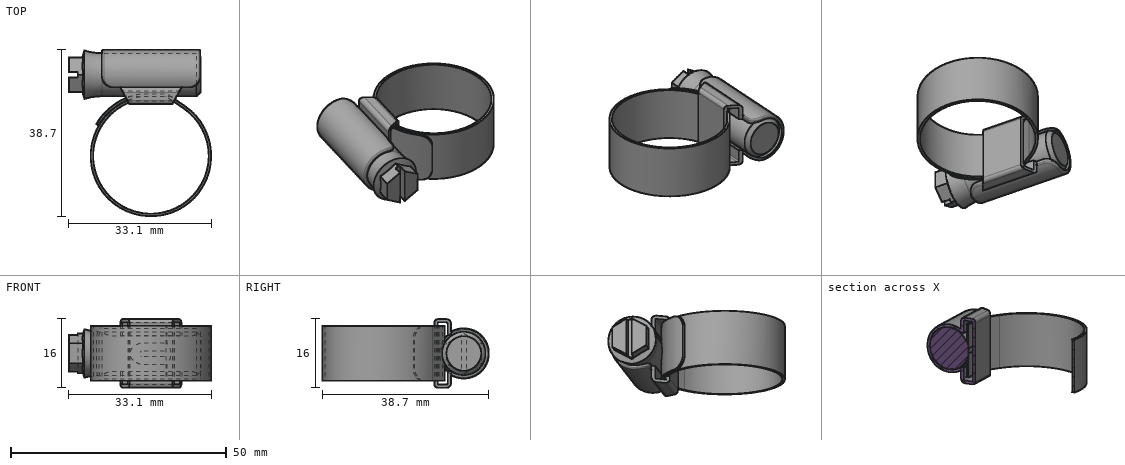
import cadquery as cq
import math


ring_radius = 14.02
band_thickness = 0.62
band_width = 12.8
inner_end_angle = 112.0
ramp_angle = 55.8
tail_gap = 0.05
tail_end_angle = 149.7
tail_corner_radius = 3.02
bridge_top = 14.5

ring_bore_radius = ring_radius - band_thickness
tail_inner_radius = ring_radius + tail_gap
tail_outer_radius = tail_inner_radius + band_thickness
bridge_bottom = bridge_top - band_thickness

screw_axis_y = 18.85
screw_radius = 5.05
screw_end_x = 11.58
screw_chamfer_length = 1.05
screw_chamfer_depth = 1.0
collar_radius = 5.65
collar_rim_x = -15.45
hex_front_x = -19.05
hex_back_x = -15.9
hex_across_flats = 8.05
slot_width = 1.25
slot_depth = 2.0

sheet_thickness = 0.8
housing_front_x = -11.4
housing_back_x = 11.5
dome_radius = screw_radius + sheet_thickness
dome_corner_radius = 2.65
dome_rim_fillet = 0.4
saddle_top = 15.9
saddle_bottom = 12.0
saddle_width = 16.0
saddle_top_corner = 1.12
saddle_bottom_corner = 0.93
saddle_inner_corner = saddle_top_corner - sheet_thickness
saddle_top_half_length = 7.13
saddle_bottom_half_length = 4.95
throat_width = 8.35


def ring_point(radius, angle):
    """Point in the XY plane at a radius and an angle in degrees from +X."""
    return (radius * math.cos(math.radians(angle)), radius * math.sin(math.radians(angle)))


def ramp_point(radius, height):
    """Point at a height on the tangent to a circle at the ramp angle."""
    turn = math.radians(ramp_angle)
    return ((radius - height * math.sin(turn)) / math.cos(turn), height)


def tail_point(radius, height):
    """Point on the left half of a circle at a height."""
    return (-math.sqrt(radius**2 - height**2), height)


def along_x(start, end, radius):
    """Cylinder on the screw axis between two X positions."""
    plane = cq.Workplane("YZ", origin=(start, screw_axis_y, 0))
    return plane.circle(radius).extrude(end - start)


def make_screw():
    """Worm screw with a flared collar and a slotted hexagon head."""
    chamfer_radius = screw_radius - screw_chamfer_depth
    shank = (
        cq.Workplane("XY")
        .moveTo(hex_back_x, 0)
        .lineTo(screw_end_x, 0)
        .lineTo(screw_end_x, chamfer_radius)
        .lineTo(screw_end_x - screw_chamfer_length, screw_radius)
        .lineTo(housing_front_x, screw_radius)
        .tangentArcPoint((collar_rim_x, collar_radius), relative=False)
        .lineTo(hex_back_x, hex_across_flats / 2)
        .close()
        .revolve(360, (0, 0, 0), (1, 0, 0))
        .translate((0, screw_axis_y, 0))
    )
    hexagon = (
        cq.Workplane("YZ", origin=(hex_front_x, screw_axis_y, 0))
        .polygon(6, hex_across_flats, circumscribed=True)
        .extrude(collar_rim_x - hex_front_x)
    )
    slot = cq.Workplane("XY").box(2 * slot_depth, slot_width, 2 * hex_across_flats)
    slot = slot.translate((hex_front_x, screw_axis_y, 0))
    return shank.union(hexagon).cut(slot)


def make_dome():
    """Upper shell around the screw, with rounded skirt corners and softened rims."""
    length = housing_back_x - housing_front_x
    height = screw_axis_y + dome_radius - saddle_top
    side_outline = (
        cq.Workplane("XY")
        .box(length, height, 2 * dome_radius)
        .edges("|Z and <Y")
        .fillet(dome_corner_radius)
        .translate(((housing_front_x + housing_back_x) / 2, saddle_top + height / 2, 0))
    )
    dome = along_x(housing_front_x, housing_back_x, dome_radius).intersect(side_outline)
    return dome.edges().fillet(dome_rim_fillet)


def make_saddle():
    """Flat tube below the dome that wraps the band, tapering towards the ring."""
    middle = (saddle_top + saddle_bottom) / 2
    height = saddle_top - saddle_bottom
    length = 2 * saddle_top_half_length
    saddle = cq.Workplane("XY").box(length, height, saddle_width)
    saddle = saddle.edges("|X and >Y").fillet(saddle_top_corner)
    saddle = saddle.edges("|X and <Y").fillet(saddle_bottom_corner)
    opening = cq.Workplane("XY").box(
        length, height - 2 * sheet_thickness, saddle_width - 2 * sheet_thickness
    )
    opening = opening.edges("|X and >Y").fillet(saddle_inner_corner)
    throat = cq.Workplane("XY").box(length, height / 2, throat_width).translate((0, height / 4, 0))
    taper = (
        cq.Workplane("XY")
        .polyline([
            (-saddle_top_half_length, height / 2),
            (saddle_top_half_length, height / 2),
            (saddle_bottom_half_length, -height / 2),
            (-saddle_bottom_half_length, -height / 2),
        ])
        .close()
        .extrude(saddle_width, both=True)
    )
    return saddle.cut(opening).cut(throat).intersect(taper).translate((0, middle, 0))


def make_housing():
    """Dome and saddle in one folded sheet, bored to fit the screw."""
    bore = along_x(housing_front_x, housing_back_x, screw_radius)
    root = along_x(-saddle_top_half_length, saddle_top_half_length, dome_radius).intersect(
        cq.Workplane("XY")
        .box(2 * saddle_top_half_length, dome_radius, 2 * dome_radius)
        .translate((0, saddle_top + dome_radius / 2, 0))
    )
    return make_dome().union(root).union(make_saddle()).cut(bore)


def make_tail_corner_waste():
    """Material outside the two rounded corners at the end of the tail."""
    corner_angle = math.degrees(tail_corner_radius / tail_outer_radius)
    middle_angle = tail_end_angle - corner_angle / 2
    plane = cq.Plane(
        origin=(0, 0, 0),
        xDir=(*ring_point(1, middle_angle + 90), 0),
        normal=(*ring_point(1, middle_angle), 0),
    )
    start = -tail_corner_radius / 2
    end = tail_corner_radius / 2
    arc_middle = tail_corner_radius * math.sqrt(0.5)
    waste = cq.Workplane("XY")
    for side in (1, -1):
        edge = side * band_width / 2
        arc_centre = edge - side * tail_corner_radius
        corner = (
            cq.Workplane(plane)
            .moveTo(start, edge)
            .lineTo(end, edge)
            .lineTo(end, arc_centre)
            .threePointArc((start + arc_middle, arc_centre + side * arc_middle), (start, edge))
            .close()
            .extrude(tail_outer_radius + band_thickness)
        )
        waste = waste.add(corner)
    waste = waste.combine()
    ring_core = cq.Workplane("XY").circle(ring_radius + tail_gap / 2).extrude(band_width, both=True)
    return waste.cut(ring_core)


def make_band(screw, housing):
    """Strip round the ring, over a flat bridge under the screw and back as a tail over the ring."""
    opposite = 270
    tail_middle_angle = (tail_end_angle + inner_end_angle) / 2
    strip = (
        cq.Workplane("XY")
        .moveTo(*ring_point(ring_radius, inner_end_angle))
        .threePointArc(ring_point(ring_radius, opposite), ring_point(ring_radius, ramp_angle))
        .lineTo(*ramp_point(ring_radius, bridge_top))
        .lineTo(*tail_point(tail_outer_radius, bridge_top))
        .threePointArc(
            ring_point(tail_outer_radius, tail_middle_angle),
            ring_point(tail_outer_radius, tail_end_angle),
        )
        .lineTo(*ring_point(tail_inner_radius, tail_end_angle))
        .threePointArc(
            ring_point(tail_inner_radius, tail_middle_angle),
            tail_point(tail_inner_radius, bridge_bottom),
        )
        .lineTo(*ramp_point(ring_bore_radius, bridge_bottom))
        .lineTo(*ring_point(ring_bore_radius, ramp_angle))
        .threePointArc(
            ring_point(ring_bore_radius, opposite), ring_point(ring_bore_radius, inner_end_angle)
        )
        .close()
        .extrude(band_width / 2, both=True)
    )
    return strip.cut(make_tail_corner_waste()).cut(screw).cut(housing)


screw = make_screw()
housing = make_housing()
band = make_band(screw, housing)

result = cq.Compound.makeCompound([band.val(), housing.val(), screw.val()])